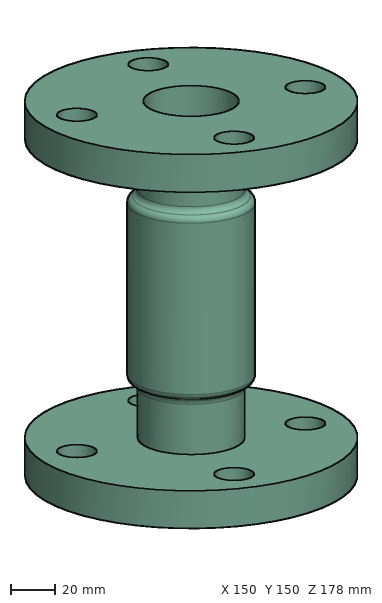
import cadquery as cq

length = 178.0
flange_diameter = 150.0
flange_thickness = 18.0
pipe_diameter = 48.5
sleeve_diameter = 57.8
bore_diameter = 43.0

sleeve_length = 81.5
shoulder_height = 6.2

bolt_hole_diameter = 18.0
bolt_circle_diameter = 110.0
bolt_count = 4
first_bolt_angle = 45.0


def make_body():
    """Solid pipe and sleeve along Z, centred on the origin, with a smooth shoulder at each sleeve end."""
    half_length = length / 2
    pipe_radius = pipe_diameter / 2
    sleeve_radius = sleeve_diameter / 2
    sleeve_top = sleeve_length / 2
    shoulder_top = sleeve_top + shoulder_height
    arc_rise = shoulder_height / 2
    arc_widening = (sleeve_radius - pipe_radius) / 2

    profile = (
        cq.Workplane("XZ")
        .moveTo(0, -half_length)
        .lineTo(pipe_radius, -half_length)
        .lineTo(pipe_radius, -shoulder_top)
        .tangentArcPoint((arc_widening, arc_rise))
        .tangentArcPoint((arc_widening, arc_rise))
        .lineTo(sleeve_radius, sleeve_top)
        .tangentArcPoint((-arc_widening, arc_rise))
        .tangentArcPoint((-arc_widening, arc_rise))
        .lineTo(pipe_radius, half_length)
        .lineTo(0, half_length)
        .close()
    )
    return profile.revolve(360, (0, 0, 0), (0, 1, 0))


def make_flange(bottom):
    """Flange disc with its ring of bolt holes, starting at height bottom."""
    return (
        cq.Workplane("XY", origin=(0, 0, bottom))
        .circle(flange_diameter / 2)
        .polarArray(bolt_circle_diameter / 2, first_bolt_angle, 360, bolt_count)
        .circle(bolt_hole_diameter / 2)
        .extrude(flange_thickness)
    )


bore = cq.Workplane("XY").circle(bore_diameter / 2).extrude(length, both=True)

result = make_body()
for flange_bottom in (-length / 2, length / 2 - flange_thickness):
    result = result.union(make_flange(flange_bottom))
result = result.cut(bore)